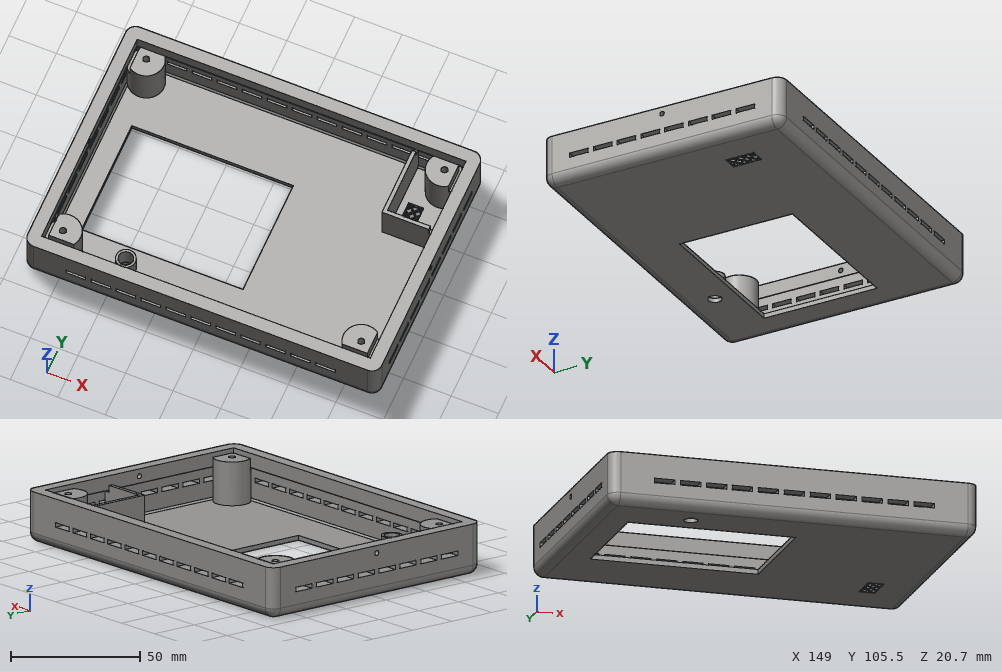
import cadquery as cq

LENGTH = 149.0
WIDTH = 105.5
HEIGHT = 20.7
OUTER_RADIUS = 4.2
WALL = 5.0
FLOOR = 2.0
FLOOR_CHAMFER = 0.7
INNER_LENGTH = LENGTH - 2 * WALL
INNER_WIDTH = WIDTH - 2 * WALL

RIM_WALL = 5.4
RIM_BOTTOM = 14.9
RIM_LENGTH = LENGTH - 2 * RIM_WALL
RIM_WIDTH = WIDTH - 2 * RIM_WALL

CHANNEL_WIDTH = 2.1

PILLAR_DIAMETER = 14.9
PILLAR_TOP = 19.5
PILLAR_BORE = 2.7
PILLAR_X = 62.7
PILLAR_Y = 41.3

PARTITION_TOP = 17.6
PARTITION_THICKNESS = 1.6
PARTITION_X = 47.4
PARTITION_Y = 15.5

WINDOW_LENGTH = 68.0
WINDOW_WIDTH = 49.9
WINDOW_X = -26.2
WINDOW_Y = -4.0

BUTTON_X = -37.5
BUTTON_Y = -38.3
TUBE_DIAMETER = 8.0
TUBE_BORE = 6.0
TUBE_TOP = 10.1
BUTTON_HOLE = 5.5

GRILLE_LENGTH = 6.3
GRILLE_WIDTH = 12.2
GRILLE_X = 55.0
GRILLE_Y = 25.3
BAR_WIDTH = 0.5
BAR_DEPTH = 1.0
BAR_SPACING = 2.5
BARS_EACH_SIDE = 3

SLOT_LENGTH = 8.2
SLOT_HEIGHT = 1.8
SLOT_Z = 10.3
SLOTS_ALONG_X = 11
SLOTS_ALONG_Y = 8
SLOT_ROW_X = 105.0
SLOT_PITCH = SLOT_ROW_X / (SLOTS_ALONG_X - 1)
PIN_DIAMETER = 2.0
PIN_Z = 17.7


def block(length, width, bottom, top, x=0.0, y=0.0):
    """Upright block centred on (x, y)."""
    return cq.Workplane("XY", origin=(x, y, bottom)).rect(length, width).extrude(top - bottom)


def cylinder(diameter, bottom, top, x, y):
    """Upright cylinder centred on (x, y)."""
    return cq.Workplane("XY", origin=(x, y, bottom)).circle(diameter / 2).extrude(top - bottom)


def make_tray():
    outside = block(LENGTH, WIDTH, 0, HEIGHT).edges("|Z").fillet(OUTER_RADIUS)
    outside = outside.faces("<Z").edges().fillet(OUTER_RADIUS)
    cavity = block(INNER_LENGTH, INNER_WIDTH, FLOOR, RIM_BOTTOM)
    cavity = cavity.faces("<Z").edges().chamfer(FLOOR_CHAMFER)
    mouth = block(RIM_LENGTH, RIM_WIDTH, RIM_BOTTOM, HEIGHT)
    return outside.cut(cavity).cut(mouth)


def row_centres(count):
    """Positions of an evenly spaced row centred on zero."""
    return [(i - (count - 1) / 2) * SLOT_PITCH for i in range(count)]


def cut_wall_openings(tray):
    bottom = SLOT_Z - SLOT_HEIGHT / 2
    top = SLOT_Z + SLOT_HEIGHT / 2
    for x in row_centres(SLOTS_ALONG_X):
        tray = tray.cut(block(SLOT_LENGTH, WIDTH, bottom, top, x=x))
    for y in row_centres(SLOTS_ALONG_Y):
        tray = tray.cut(block(LENGTH, SLOT_LENGTH, bottom, top, y=y))
    pin = cq.Workplane("YZ").center(0, PIN_Z).circle(PIN_DIAMETER / 2).extrude(LENGTH / 2, both=True)
    return tray.cut(pin)


def make_pillars():
    pillars = cq.Workplane("XY")
    for x in (-PILLAR_X, PILLAR_X):
        for y in (-PILLAR_Y, PILLAR_Y):
            pillar = cylinder(PILLAR_DIAMETER, FLOOR, PILLAR_TOP, x, y)
            pillars = pillars.add(pillar.cut(cylinder(PILLAR_BORE, FLOOR, PILLAR_TOP, x, y)))
    return pillars.combine()


def corner_block(near_x, near_y):
    """Block from a near corner to the inner walls at +X +Y, up to the partition top."""
    length = INNER_LENGTH / 2 - near_x
    width = INNER_WIDTH / 2 - near_y
    return block(length, width, FLOOR, PARTITION_TOP, near_x + length / 2, near_y + width / 2)


def make_partition():
    room = corner_block(PARTITION_X + PARTITION_THICKNESS, PARTITION_Y + PARTITION_THICKNESS)
    return corner_block(PARTITION_X, PARTITION_Y).cut(room)


def cut_lip_channel(fittings):
    """Part the fittings from the rim so that a lid lip fits in between."""
    ring = block(RIM_LENGTH, RIM_WIDTH, RIM_BOTTOM, HEIGHT)
    inset = 2 * CHANNEL_WIDTH
    return fittings.cut(ring.cut(block(RIM_LENGTH - inset, RIM_WIDTH - inset, RIM_BOTTOM, HEIGHT)))


def make_grille_bars():
    reach = GRILLE_LENGTH + GRILLE_WIDTH
    bars = cq.Workplane("XY")
    for angle in (-45, 45):
        for i in range(-BARS_EACH_SIDE, BARS_EACH_SIDE + 1):
            bar = block(reach, BAR_WIDTH, 0, BAR_DEPTH, y=i * BAR_SPACING)
            bars = bars.union(bar.rotate((0, 0, 0), (0, 0, 1), angle))
    return bars.translate((GRILLE_X, GRILLE_Y, 0))


def cut_floor_openings(body):
    body = body.cut(block(WINDOW_LENGTH, WINDOW_WIDTH, 0, FLOOR, WINDOW_X, WINDOW_Y))
    body = body.cut(cylinder(BUTTON_HOLE, 0, FLOOR, BUTTON_X, BUTTON_Y))
    opening = block(GRILLE_LENGTH, GRILLE_WIDTH, 0, FLOOR, GRILLE_X, GRILLE_Y)
    return body.cut(opening.cut(make_grille_bars()))


def make_button_tube():
    tube = cylinder(TUBE_DIAMETER, FLOOR, TUBE_TOP, BUTTON_X, BUTTON_Y)
    return tube.cut(cylinder(TUBE_BORE, FLOOR, TUBE_TOP, BUTTON_X, BUTTON_Y))


result = cut_wall_openings(make_tray())
result = result.union(cut_lip_channel(make_pillars()))
result = result.union(cut_lip_channel(make_partition()))
result = result.union(make_button_tube())
result = cut_floor_openings(result)